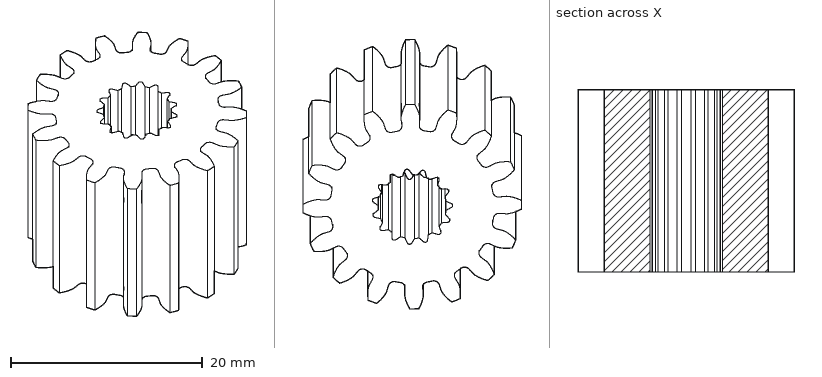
import cadquery as cq
import math

MODULE = 25.4 / 20
GEAR_TEETH = 16
PRESSURE_ANGLE = math.radians(14.5)
FACE_WIDTH = 19.05
DEDENDUM_FACTOR = 1.25
BACKLASH = 0.08
ROOT_FILLET = 0.6
FLANK_STEPS = 6

PITCH_RADIUS = MODULE * GEAR_TEETH / 2
TIP_RADIUS = PITCH_RADIUS + MODULE
ROOT_RADIUS = PITCH_RADIUS - DEDENDUM_FACTOR * MODULE
BASE_RADIUS = PITCH_RADIUS * math.cos(PRESSURE_ANGLE)
TOOTH_PITCH = 2 * math.pi / GEAR_TEETH
FIRST_TOOTH_ANGLE = TOOTH_PITCH / 2

SPLINE_GROOVES = 15
BORE_RADIUS = 3.56
GROOVE_MOUTH_HALF_WIDTH = 0.51
GROOVE_FLANK_ANGLE = math.radians(27.5)
GROOVE_ROUNDING = 0.25


def polar(radius, angle):
    return (radius * math.cos(angle), radius * math.sin(angle))


def involute(angle):
    return math.tan(angle) - angle


def tooth_half_angle(radius):
    """Half of the angle a tooth spans at a radius on its involute flank."""
    half_at_pitch = TOOTH_PITCH / 4 - BACKLASH / (2 * PITCH_RADIUS)
    flank_angle = math.acos(min(1.0, BASE_RADIUS / radius))
    return half_at_pitch + involute(PRESSURE_ANGLE) - involute(flank_angle)


def make_gear_blank():
    """Toothed body: involute flanks, radial below the base circle, filleted roots."""
    flank_radii = [
        BASE_RADIUS + (TIP_RADIUS - BASE_RADIUS) * step / FLANK_STEPS
        for step in range(FLANK_STEPS + 1)
    ]
    base_half = tooth_half_angle(BASE_RADIUS)
    tip_half = tooth_half_angle(TIP_RADIUS)
    tip_roll = math.tan(math.acos(BASE_RADIUS / TIP_RADIUS))

    fillet_center_radius = ROOT_RADIUS + ROOT_FILLET
    fillet_span = math.asin(ROOT_FILLET / fillet_center_radius)
    fillet_top_radius = fillet_center_radius * math.cos(fillet_span)
    root_half = base_half + fillet_span

    outline = cq.Workplane("XY").moveTo(*polar(ROOT_RADIUS, FIRST_TOOTH_ANGLE - root_half))
    for tooth in range(GEAR_TEETH):
        middle = FIRST_TOOTH_ANGLE + tooth * TOOTH_PITCH
        rising = [polar(r, middle - tooth_half_angle(r)) for r in flank_radii]
        falling = [polar(r, middle + tooth_half_angle(r)) for r in reversed(flank_radii)]
        gap_middle = middle + TOOTH_PITCH / 2
        next_root = middle + TOOTH_PITCH - root_half

        rising_ends = [polar(1, middle - base_half), polar(1, middle - base_half + tip_roll)]
        falling_ends = [polar(-1, middle + base_half - tip_roll), polar(-1, middle + base_half)]

        outline = outline.radiusArc(polar(fillet_top_radius, middle - base_half), ROOT_FILLET)
        outline = outline.lineTo(*rising[0])
        outline = outline.spline(rising[1:], tangents=rising_ends, includeCurrent=True)
        outline = outline.threePointArc(polar(TIP_RADIUS, middle), polar(TIP_RADIUS, middle + tip_half))
        outline = outline.spline(falling[1:], tangents=falling_ends, includeCurrent=True)
        outline = outline.lineTo(*polar(fillet_top_radius, middle + base_half))
        outline = outline.radiusArc(polar(ROOT_RADIUS, middle + root_half), ROOT_FILLET)
        outline = outline.threePointArc(polar(ROOT_RADIUS, gap_middle), polar(ROOT_RADIUS, next_root))
    return outline.close().extrude(FACE_WIDTH)


def make_splined_bore():
    """Cutter for the bore: tapered grooves with rounded bottoms around a round hole."""
    groove_pitch = 2 * math.pi / SPLINE_GROOVES
    mouth_half = math.asin(GROOVE_MOUTH_HALF_WIDTH / BORE_RADIUS)

    mouth_x = BORE_RADIUS * math.cos(mouth_half)
    shoulder_y = GROOVE_ROUNDING * math.cos(GROOVE_FLANK_ANGLE)
    shoulder_x = mouth_x + (GROOVE_MOUTH_HALF_WIDTH - shoulder_y) / math.tan(GROOVE_FLANK_ANGLE)
    shoulder_radius = math.hypot(shoulder_x, shoulder_y)
    shoulder_half = math.atan2(shoulder_y, shoulder_x)
    bottom_radius = shoulder_x + GROOVE_ROUNDING * (1 - math.sin(GROOVE_FLANK_ANGLE))

    outline = cq.Workplane("XY").moveTo(*polar(BORE_RADIUS, -mouth_half))
    for groove in range(SPLINE_GROOVES):
        middle = groove * groove_pitch
        land_middle = middle + groove_pitch / 2
        next_mouth = middle + groove_pitch - mouth_half

        outline = outline.lineTo(*polar(shoulder_radius, middle - shoulder_half))
        outline = outline.threePointArc(
            polar(bottom_radius, middle),
            polar(shoulder_radius, middle + shoulder_half),
        )
        outline = outline.lineTo(*polar(BORE_RADIUS, middle + mouth_half))
        outline = outline.threePointArc(polar(BORE_RADIUS, land_middle), polar(BORE_RADIUS, next_mouth))
    return outline.close().extrude(FACE_WIDTH)


result = make_gear_blank().cut(make_splined_bore())